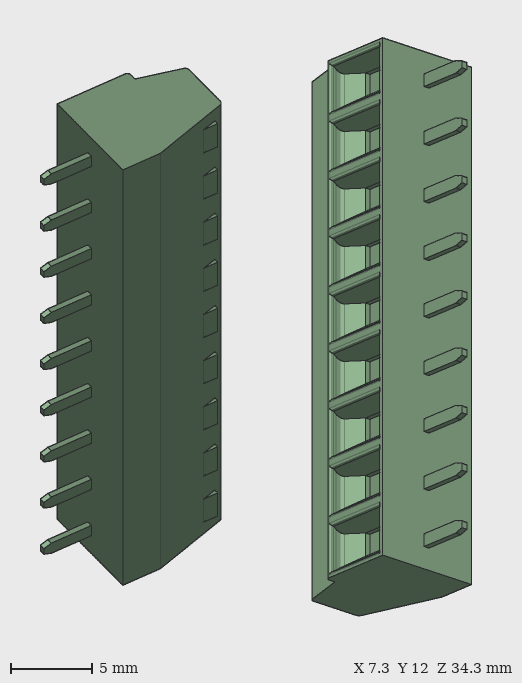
import cadquery as cq
import math

pole_count = 9
pitch = 3.81
block_length = pole_count * pitch

width = 7.3
height = 8.5
step_height = 5.25
step_foot_x = 0.72
crown_left_x = 1.62
crown_right_x = 5.55
back_wall_height = 2.77
crown_radius = 0.3
step_edge_radius = 0.25
step_foot_radius = 0.1

mouth_bottom_y = 0.28
mouth_top_y = 4.97
mouth_half_height = 1.7
lip_radius = 0.2
funnel_depth = 1.2
floor_half_height = 0.77
floor_bottom_y = 1.18
floor_top_y = 2.94
ramp_top_depth = 0.72
ramp_radius = 0.45
socket_depth = 0.35

pin_length = 3.5
pin_thickness = 0.4
pin_breadth = 0.84
pin_tip_breadth = 0.46
pin_tip_length = 0.55
pin_x = 3.6

lug_face_x = 6.08
lug_top_y = 7.8
lug_breadth = pitch / 2


def back_slope_x(y):
    """X of the sloping back face at height y."""
    rise = (y - back_wall_height) / (height - back_wall_height)
    return width + rise * (crown_right_x - width)


def back_slope_y(x):
    """Height y of the sloping back face at position x."""
    run = (width - x) / (width - crown_right_x)
    return back_wall_height + run * (height - back_wall_height)


def make_housing():
    outline = [
        (0, 0),
        (width, 0),
        (width, back_wall_height),
        (crown_right_x, height),
        (crown_left_x, height),
        (step_foot_x, step_height),
        (0, step_height),
    ]
    body = cq.Workplane("XY").polyline(outline).close().extrude(block_length)
    body = body.edges("|Z and >Y").fillet(crown_radius)
    for corner_x, radius in ((0, step_edge_radius), (step_foot_x, step_foot_radius)):
        corner = cq.selectors.NearestToPointSelector((corner_x, step_height, block_length / 2))
        body = body.edges("|Z").edges(corner).fillet(radius)
    return body


def make_funnel(center_z):
    """Wire entry cutter: a rounded lip, a tapered funnel and a shallow socket in its floor."""
    shoulder_y = mouth_top_y - lip_radius
    lip_diagonal = lip_radius * math.sqrt(0.5)
    lip_middle = lip_radius - lip_diagonal
    lip_half_height = mouth_half_height - lip_radius
    lip_middle_half_height = mouth_half_height - lip_diagonal

    section = (
        cq.Workplane("XY", origin=(0, 0, center_z))
        .moveTo(0, mouth_bottom_y)
        .lineTo(funnel_depth, floor_bottom_y)
        .lineTo(funnel_depth, floor_top_y)
        .lineTo(ramp_top_depth, shoulder_y)
        .lineTo(lip_radius, shoulder_y)
        .threePointArc((lip_middle, mouth_top_y - lip_diagonal), (0, mouth_top_y))
        .close()
        .extrude(pitch / 2, both=True)
    )
    ramp_edge = cq.selectors.NearestToPointSelector((ramp_top_depth, shoulder_y, center_z))
    section = section.edges("|Z").edges(ramp_edge).fillet(ramp_radius)

    taper = (
        cq.Workplane("XZ", origin=(0, 0, center_z))
        .moveTo(0, -mouth_half_height)
        .threePointArc((lip_middle, -lip_middle_half_height), (lip_radius, -lip_half_height))
        .lineTo(funnel_depth, -floor_half_height)
        .lineTo(funnel_depth, floor_half_height)
        .lineTo(lip_radius, lip_half_height)
        .threePointArc((lip_middle, lip_middle_half_height), (0, mouth_half_height))
        .close()
        .extrude(-height)
    )

    socket = cq.Workplane("XY").box(
        socket_depth, floor_top_y - floor_bottom_y, 2 * floor_half_height, centered=(False, False, True)
    )
    socket = socket.translate((funnel_depth, floor_bottom_y, center_z))
    return section.intersect(taper).union(socket)


def make_pin(center_z):
    """Flat pin whose end tapers in breadth; its root meets the base."""
    outline = [
        (0, -pin_breadth / 2),
        (pin_tip_length - pin_length, -pin_breadth / 2),
        (-pin_length, -pin_tip_breadth / 2),
        (-pin_length, pin_tip_breadth / 2),
        (pin_tip_length - pin_length, pin_breadth / 2),
        (0, pin_breadth / 2),
    ]
    plane = cq.Workplane("YZ", origin=(pin_x, 0, center_z))
    return plane.polyline(outline).close().extrude(pin_thickness / 2, both=True)


def make_lug(center_z):
    """Wedge between the sloping back face and an upright outer face."""
    outline = [
        (back_slope_x(lug_top_y), lug_top_y),
        (lug_face_x, lug_top_y),
        (lug_face_x, back_slope_y(lug_face_x)),
    ]
    plane = cq.Workplane("XY", origin=(0, 0, center_z))
    return plane.polyline(outline).close().extrude(lug_breadth / 2, both=True)


result = make_housing()
for pole in range(pole_count):
    pole_z = (pole + 0.5) * pitch
    result = result.cut(make_funnel(pole_z))
    result = result.union(make_pin(pole_z))
    result = result.union(make_lug(pole_z))